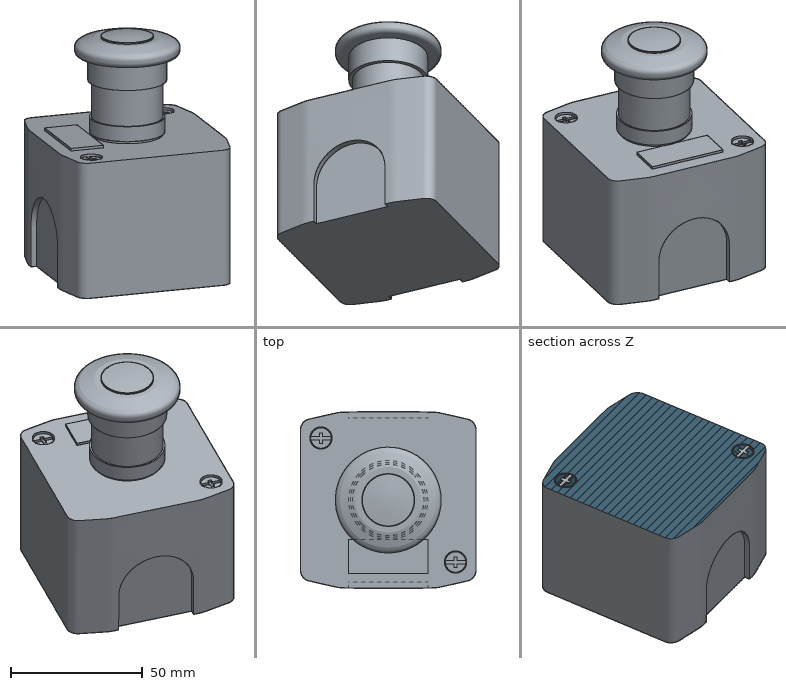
import cadquery as cq
import math

HOUSING_WIDTH = 66.66
HOUSING_HEIGHT = 53.3
FRONT_FLAT_WIDTH = 36.9
SIDE_CORNER_Y = 29.94
CORNER_RADIUS = 4.3
FRONT_EDGE_RADIUS = 13.4

OVERALL_DEPTH = 67.19
PANEL_WIDTH = 33.8
PANEL_BLOCK_DEPTH = 5.0
BULGE_HEIGHT_POWER = 6
BULGE_STATIONS_ACROSS = (-0.5, 0, 0.5)
BULGE_STATIONS_ALONG = (-0.8, -0.4, 0, 0.4, 0.8)

ARCH_RADIUS = 15.0
ARCH_HEIGHT = 31.0
ARCH_DEPTH = 2.2

LABEL_LENGTH = 30.0
LABEL_WIDTH = 13.0
LABEL_CENTER_Y = -21.4
LABEL_HEIGHT = 1.0

SCREW_X = 25.5
SCREW_Y = 23.5
SCREW_HOLE_RADIUS = 4.2
SCREW_CLEARANCE = 0.3
SCREW_HEAD_HEIGHT = 2.0
SCREW_SINK = 0.8
SLOT_WIDTH = 1.3
SLOT_DEPTH = 1.0
CROSS_LENGTH = 4.0

NECK_RADIUS = 13.5
NECK_HEIGHT = 1.0
RING_RADIUS = 14.3
RING_HEIGHT = 5.9
SHAFT_RADIUS = 13.6
SHAFT_HEIGHT = 14.5

TOTAL_HEIGHT = 92.8
SKIRT_RADIUS = 15.0
SKIRT_HEIGHT = 9.9
HEAD_RADIUS = 20.05
HEAD_UNDERSIDE_RISE = 0.1
RIM_BOTTOM_RADIUS = 1.95
RIM_BAND_HEIGHT = 0.85
RIM_TOP_RADIUS = 2.0
RIM_TOP_ANGLE = math.radians(53)
CROWN_EDGE_RADIUS = 18.2
CROWN_EDGE_RISE = 0.7
CROWN_TOP_RADIUS = 12.4
CROWN_SAG = 0.08
CAP_RADIUS = 10.0
CAP_EDGE = 0.15
CAP_WALL_HEIGHT = 0.45
CAP_RISE = 1.3

half_width = HOUSING_WIDTH / 2
front_y = -half_width


def housing_block():
    """Prism with sloped front and back sides and rounded vertical edges."""
    half_flat = FRONT_FLAT_WIDTH / 2
    outline = []
    for sx, sy in [(1, 1), (-1, 1), (-1, -1), (1, -1)]:
        corner = (sx * half_width, sy * SIDE_CORNER_Y)
        front_edge = (sx * half_flat, sy * half_width)
        outline += [corner, front_edge] if sx == sy else [front_edge, corner]
    block = cq.Workplane("XY").polyline(outline).close().extrude(HOUSING_HEIGHT)
    block = block.edges("|Z and (<X or >X)").fillet(CORNER_RADIUS)
    return block.edges("|Z and (<Y or >Y)").fillet(FRONT_EDGE_RADIUS)


def bulged_panel():
    """Block whose -Y face has four straight edges and bulges out in its middle."""
    half_panel = PANEL_WIDTH / 2
    block = cq.Workplane("XY").box(
        PANEL_WIDTH, PANEL_BLOCK_DEPTH, HOUSING_HEIGHT, centered=(True, False, False)
    ).translate((0, front_y, 0))
    bulge_rise = OVERALL_DEPTH / 2 - half_width
    bulge_points = []
    for across in BULGE_STATIONS_ACROSS:
        for along in BULGE_STATIONS_ALONG:
            rise = bulge_rise * (1 - across**2) * (1 - along**BULGE_HEIGHT_POWER)
            x = across * half_panel
            z = (1 + along) * HOUSING_HEIGHT / 2
            bulge_points.append(cq.Vector(x, front_y - rise, z))
    bulge = cq.Face.makeNSidedSurface(block.faces("<Y").edges().vals(), bulge_points)
    flat_faces = block.faces("not <Y").vals()
    return cq.Workplane(cq.Solid.makeSolid(cq.Shell.makeShell([bulge, *flat_faces])))


def arch_recess():
    """Cutter for the round-topped recess, reaching in from beyond the -Y side."""
    spring_z = ARCH_HEIGHT - ARCH_RADIUS
    return (
        cq.Workplane("XZ", origin=(0, front_y + ARCH_DEPTH, 0))
        .moveTo(-ARCH_RADIUS, 0)
        .lineTo(ARCH_RADIUS, 0)
        .lineTo(ARCH_RADIUS, spring_z)
        .threePointArc((0, ARCH_HEIGHT), (-ARCH_RADIUS, spring_z))
        .close()
        .extrude(2 * ARCH_DEPTH)
    )


screw_places = [(-SCREW_X, SCREW_Y), (SCREW_X, -SCREW_Y)]
screw_top = HOUSING_HEIGHT - SCREW_SINK
screw_seat = screw_top - SCREW_HEAD_HEIGHT


def make_housing():
    body = housing_block()
    for turn in (0, 180):
        body = body.union(bulged_panel().rotate((0, 0, 0), (0, 0, 1), turn))
        body = body.cut(arch_recess().rotate((0, 0, 0), (0, 0, 1), turn))
    label = (
        cq.Workplane("XY", origin=(0, LABEL_CENTER_Y, HOUSING_HEIGHT))
        .rect(LABEL_LENGTH, LABEL_WIDTH)
        .extrude(LABEL_HEIGHT)
    )
    screw_holes = (
        cq.Workplane("XY", origin=(0, 0, screw_seat))
        .pushPoints(screw_places)
        .circle(SCREW_HOLE_RADIUS)
        .extrude(SCREW_HEAD_HEIGHT + SCREW_SINK)
    )
    return body.union(label).cut(screw_holes)


def make_screw(x, y):
    """Round head with a full-width slot and a shorter cross slot."""
    head_radius = SCREW_HOLE_RADIUS - SCREW_CLEARANCE
    head = (
        cq.Workplane("XY", origin=(x, y, screw_seat))
        .circle(head_radius)
        .extrude(SCREW_HEAD_HEIGHT)
    )
    slots = (
        cq.Workplane("XY", origin=(x, y, screw_top))
        .rect(2 * SCREW_HOLE_RADIUS, SLOT_WIDTH)
        .extrude(-SLOT_DEPTH)
        .union(
            cq.Workplane("XY", origin=(x, y, screw_top))
            .rect(SLOT_WIDTH, CROSS_LENGTH)
            .extrude(-SLOT_DEPTH)
        )
    )
    return head.cut(slots)


def make_collar():
    collar = cq.Workplane("XY", origin=(0, 0, HOUSING_HEIGHT))
    collar = collar.circle(NECK_RADIUS).extrude(NECK_HEIGHT)
    collar = collar.faces(">Z").workplane().circle(RING_RADIUS).extrude(RING_HEIGHT)
    return collar.faces(">Z").workplane().circle(SHAFT_RADIUS).extrude(SHAFT_HEIGHT)


def make_button():
    """Solid of revolution about Z, drawn as a half profile of radius against height."""
    skirt_bottom = HOUSING_HEIGHT + NECK_HEIGHT + RING_HEIGHT + SHAFT_HEIGHT
    skirt_top = skirt_bottom + SKIRT_HEIGHT
    head_bottom = skirt_top + HEAD_UNDERSIDE_RISE
    band_bottom = head_bottom + RIM_BOTTOM_RADIUS
    band_top = band_bottom + RIM_BAND_HEIGHT
    crown_top = TOTAL_HEIGHT - CAP_RISE

    rim_bottom_center = HEAD_RADIUS - RIM_BOTTOM_RADIUS
    rim_bottom_middle = (
        rim_bottom_center + RIM_BOTTOM_RADIUS * math.cos(math.radians(45)),
        band_bottom - RIM_BOTTOM_RADIUS * math.sin(math.radians(45)),
    )

    def rim_top_point(angle):
        return (
            HEAD_RADIUS - RIM_TOP_RADIUS * (1 - math.cos(angle)),
            band_top + RIM_TOP_RADIUS * math.sin(angle),
        )

    crown_edge = (CROWN_EDGE_RADIUS, rim_top_point(RIM_TOP_ANGLE)[1] + CROWN_EDGE_RISE)
    cap_wall_top = crown_top + CAP_WALL_HEIGHT
    cap_edge = (CAP_RADIUS - CAP_EDGE, cap_wall_top + CAP_EDGE)
    dome_height = TOTAL_HEIGHT - cap_edge[1]
    dome_radius = (cap_edge[0] ** 2 + dome_height**2) / (2 * dome_height)
    dome_middle_radius = cap_edge[0] / 2
    dome_middle_drop = dome_radius - math.sqrt(dome_radius**2 - dome_middle_radius**2)
    crown_middle = (
        (CROWN_EDGE_RADIUS + CROWN_TOP_RADIUS) / 2,
        (crown_edge[1] + crown_top) / 2 + CROWN_SAG,
    )
    profile = (
        cq.Workplane("XZ")
        .moveTo(0, skirt_bottom)
        .lineTo(SKIRT_RADIUS, skirt_bottom)
        .lineTo(SKIRT_RADIUS, skirt_top)
        .lineTo(rim_bottom_center, head_bottom)
        .threePointArc(rim_bottom_middle, (HEAD_RADIUS, band_bottom))
        .lineTo(HEAD_RADIUS, band_top)
        .threePointArc(rim_top_point(RIM_TOP_ANGLE / 2), rim_top_point(RIM_TOP_ANGLE))
        .lineTo(*crown_edge)
        .threePointArc(crown_middle, (CROWN_TOP_RADIUS, crown_top))
        .lineTo(CAP_RADIUS, crown_top)
        .lineTo(CAP_RADIUS, cap_wall_top)
        .lineTo(*cap_edge)
        .threePointArc((dome_middle_radius, TOTAL_HEIGHT - dome_middle_drop), (0, TOTAL_HEIGHT))
        .close()
    )
    return profile.revolve(360, (0, 0, 0), (0, 1, 0))


housing = make_housing()
screws = [make_screw(x, y) for x, y in screw_places]
collar = make_collar()
button = make_button()

result = cq.Compound.makeCompound(
    [housing.val(), *[screw.val() for screw in screws], collar.val(), button.val()]
)